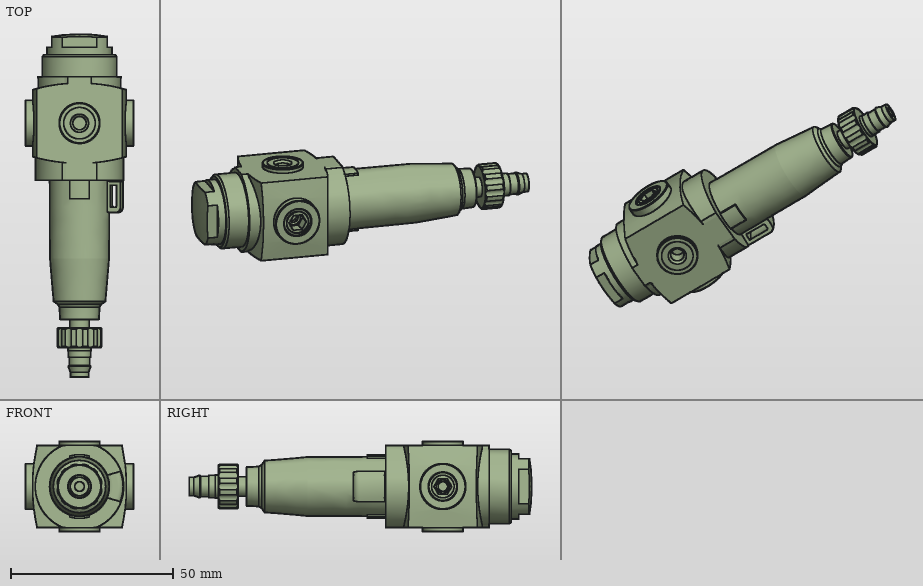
import cadquery as cq
import math


BLOCK_HEIGHT = 25.4
BLOCK_EDGE_WIDTH = 26.3
BLOCK_MID_WIDTH = 29.0
BLOCK_SIDE_LENGTH = 20.6
BLOCK_MID_LENGTH = 24.8

CAP_SHOULDER_Y = 14.3
CAP_SHOULDER_RADIUS = 12.8
CAP_PAD_HALF_WIDTH = 3.6
CAP_PAD_FOOT_HALF_WIDTH = 4.7
BOWL_SHOULDER_Y = -17.7
BOWL_SHOULDER_RADIUS = 13.7
BOWL_PAD_HALF_WIDTH = 4.2
BOWL_PAD_FOOT_HALF_WIDTH = 5.4

CAP_RADIUS = 11.5
CAP_END_Y = 21.2
CAP_CHAMFER = 0.6
KNOB_RADIUS = 10.1
KNOB_END_Y = 27.5
KNOB_DOME_DROP = 1.1
KNOB_FLAT_WIDTH = 17.1
KNOB_FLAT_START_Y = 23.5

SIDE_PORT_SPAN = 33.5
SIDE_PORT_DIAMETER = 14.2
SIDE_RECESS_DIAMETER = 8.6
SIDE_RECESS_DEPTH = 0.4
SOCKET_RING_DIAMETER = 7.0
SOCKET_ACROSS_FLATS = 4.8
SOCKET_DEPTH = 4.2
FLOW_SINK_DIAMETER = 4.1
FLOW_HOLE_DIAMETER = 3.0
FLOW_HOLE_DEPTH = 6.4

GAUGE_PORT_SPAN = 28.0
GAUGE_PORT_DIAMETER = 12.6
GAUGE_RECESS_DIAMETER = 9.7
GAUGE_RECESS_DEPTH = 0.1
GAUGE_HOLE_DIAMETER = 4.1
GAUGE_SINK_DIAMETER = 5.6
GAUGE_HOLE_DEPTH = 5.3
PORT_EDGE_CHAMFER = 0.2

BOWL_TOP_RADIUS = 9.26
BOWL_WAIST_Y = -41.8
BOWL_WAIST_RADIUS = 9.16
BOWL_FOOT_Y = -54.9
BOWL_FOOT_RADIUS = 8.0
BOWL_CHAMFER_END_Y = -55.9
BOWL_CHAMFER_END_RADIUS = 6.8
NECK_START_Y = -56.7
NECK_RADIUS = 6.2
NECK_END_Y = -60.7
NECK_END_RADIUS = 6.0
NECK_EDGE = 0.2

TAB_WIDTH = 6.1
TAB_RADIUS = 9.8
TAB_END_Y = -23.3

LATCH_START_Y = -18.0
LATCH_END_Y = -27.6
LATCH_INNER_RADIUS = 8.5
LATCH_OUTER_RADIUS = 13.4
LATCH_CORNER = 1.7
LATCH_ROOT_X = 7.4
LATCH_ROOT_HALF_WIDTH = 3.2
LATCH_FLARE_ANGLE = 16.0
LATCH_SLOT_INNER_RADIUS = 10.2
LATCH_SLOT_OUTER_RADIUS = 12.2
LATCH_SLOT_START_Y = -19.2
LATCH_SLOT_END_Y = -25.9
LATCH_SLOT_CORNER = 0.5

STEM_RADIUS = 3.1
WHEEL_START_Y = -63.2
WHEEL_END_Y = -69.2
WHEEL_RADIUS = 7.0
WHEEL_CHAMFER = 0.4
FLUTE_COUNT = 12
FLUTE_WIDTH = 2.2
FLUTE_DEPTH = 0.4
NOZZLE_COLLAR_RADIUS = 3.6
NOZZLE_COLLAR_END_Y = -70.2
NOZZLE_BAND_RADIUS = 3.5
NOZZLE_BAND_END_Y = -72.2
NOZZLE_GROOVE_RADIUS = 3.23
BARB_Y = -75.1
BARB_RADIUS = 3.5
BARB_LIP = 0.3
BARB_CONE_END_Y = -76.9
NOZZLE_TIP_RADIUS = 2.9
NOZZLE_END_Y = -78.3
DRAIN_BORE_DIAMETER = 3.0
DRAIN_BORE_DEPTH = 6.4


def turned(profile):
    """Solid of revolution about Y through (radius, y) points, closed along the axis."""
    first_y = profile[0][1]
    last_y = profile[-1][1]
    outline = [(0, first_y)] + profile + [(0, last_y)]
    return cq.Workplane("XY").polyline(outline).close().revolve(360, (0, 0), (0, 1))


def along_y(outline, y_from, y_to):
    """Extrude an XZ outline between two Y positions."""
    return outline.extrude(y_from - y_to).translate((0, y_from, 0))


def xz_outline():
    return cq.Workplane("XZ")



def bulged_sides():
    half_height = BLOCK_HEIGHT / 2
    edge = BLOCK_EDGE_WIDTH / 2
    crest = BLOCK_MID_WIDTH / 2
    outline = (
        xz_outline()
        .moveTo(-edge, half_height)
        .lineTo(edge, half_height)
        .threePointArc((crest, 0), (edge, -half_height))
        .lineTo(-edge, -half_height)
        .threePointArc((-crest, 0), (-edge, half_height))
        .close()
    )
    return along_y(outline, BLOCK_MID_LENGTH / 2, -BLOCK_MID_LENGTH / 2)


def bulged_ends():
    side_x = BLOCK_MID_WIDTH / 2
    side_y = BLOCK_SIDE_LENGTH / 2
    crest_y = BLOCK_MID_LENGTH / 2
    return (
        cq.Workplane("XY")
        .moveTo(-side_x, side_y)
        .threePointArc((0, crest_y), (side_x, side_y))
        .lineTo(side_x, -side_y)
        .threePointArc((0, -crest_y), (-side_x, -side_y))
        .close()
        .extrude(BLOCK_HEIGHT / 2, both=True)
    )


def shoulder(radius, pad_half_width, foot_half_width, end_y):
    """Round shoulder from the block's middle to end_y, with a flat pad at top and bottom."""
    pad_z = BLOCK_HEIGHT / 2
    foot_z = math.sqrt(radius ** 2 - foot_half_width ** 2)
    outline = (
        xz_outline()
        .moveTo(-pad_half_width, pad_z)
        .lineTo(pad_half_width, pad_z)
        .lineTo(foot_half_width, foot_z)
        .threePointArc((radius, 0), (foot_half_width, -foot_z))
        .lineTo(pad_half_width, -pad_z)
        .lineTo(-pad_half_width, -pad_z)
        .lineTo(-foot_half_width, -foot_z)
        .threePointArc((-radius, 0), (-foot_half_width, foot_z))
        .close()
    )
    return along_y(outline, max(end_y, 0), min(end_y, 0))


def cap():
    return turned([
        (CAP_RADIUS, 0),
        (CAP_RADIUS, CAP_END_Y - CAP_CHAMFER),
        (CAP_RADIUS - CAP_CHAMFER, CAP_END_Y),
    ])


def knob():
    """Domed knob with four flats that leave the round base below them."""
    dome_radius = (KNOB_RADIUS ** 2 + KNOB_DOME_DROP ** 2) / (2 * KNOB_DOME_DROP)
    mid_radius = KNOB_RADIUS / 2
    mid_y = KNOB_END_Y - dome_radius + math.sqrt(dome_radius ** 2 - mid_radius ** 2)
    body = (
        cq.Workplane("XY")
        .lineTo(KNOB_RADIUS, 0)
        .lineTo(KNOB_RADIUS, KNOB_END_Y - KNOB_DOME_DROP)
        .threePointArc((mid_radius, mid_y), (0, KNOB_END_Y))
        .close()
        .revolve(360, (0, 0), (0, 1))
    )
    round_base = xz_outline().circle(KNOB_RADIUS)
    square_end = xz_outline().rect(KNOB_FLAT_WIDTH, KNOB_FLAT_WIDTH)
    envelope = along_y(round_base, KNOB_FLAT_START_Y, 0).union(
        along_y(square_end, KNOB_END_Y, KNOB_FLAT_START_Y)
    )
    return body.intersect(envelope)


def upright_disc(diameter, z_from, z_to):
    return cq.Workplane("XY").workplane(offset=z_from).circle(diameter / 2).extrude(z_to - z_from)


def cone_frustum(large_diameter, small_diameter, face_z):
    """Countersink that narrows downwards at 45 degrees from face_z."""
    depth = (large_diameter - small_diameter) / 2
    solid = cq.Solid.makeCone(
        small_diameter / 2, large_diameter / 2, depth, cq.Vector(0, 0, face_z - depth)
    )
    return cq.Workplane(obj=solid)


def port_boss(diameter, face_z):
    return upright_disc(diameter, 0, face_z).faces(">Z").edges().chamfer(PORT_EDGE_CHAMFER)


def gauge_cut(face_z):
    recess_z = face_z - GAUGE_RECESS_DEPTH
    recess = upright_disc(GAUGE_RECESS_DIAMETER, recess_z, face_z)
    hole = upright_disc(GAUGE_HOLE_DIAMETER, face_z - GAUGE_HOLE_DEPTH, face_z)
    sink = cone_frustum(GAUGE_SINK_DIAMETER, GAUGE_HOLE_DIAMETER, recess_z)
    return recess.union(hole).union(sink)


def side_cut(face_z):
    """Shallow groove around a ring, and a hexagon socket with a corner on each Y side."""
    groove_z = face_z - SIDE_RECESS_DEPTH
    mouth_diameter = SIDE_RECESS_DIAMETER + 2 * PORT_EDGE_CHAMFER
    socket_z = face_z - SOCKET_DEPTH
    across_corners = SOCKET_ACROSS_FLATS / math.cos(math.radians(30))

    groove = upright_disc(SIDE_RECESS_DIAMETER, groove_z, face_z)
    groove = groove.union(cone_frustum(mouth_diameter, SIDE_RECESS_DIAMETER, face_z))
    groove = groove.cut(upright_disc(SOCKET_RING_DIAMETER, groove_z, face_z))
    socket = (
        cq.Workplane("XY")
        .workplane(offset=socket_z)
        .polygon(6, across_corners)
        .extrude(SOCKET_DEPTH)
        .rotate((0, 0, 0), (0, 0, 1), 90)
    )
    flow_sink = cone_frustum(FLOW_SINK_DIAMETER, FLOW_HOLE_DIAMETER, socket_z)
    flow_hole = upright_disc(FLOW_HOLE_DIAMETER, face_z - FLOW_HOLE_DEPTH, socket_z)
    return groove.union(socket).union(flow_sink).union(flow_hole)


def make_housing():
    body = bulged_sides().intersect(bulged_ends())
    body = body.union(
        shoulder(CAP_SHOULDER_RADIUS, CAP_PAD_HALF_WIDTH, CAP_PAD_FOOT_HALF_WIDTH, CAP_SHOULDER_Y)
    )
    body = body.union(
        shoulder(BOWL_SHOULDER_RADIUS, BOWL_PAD_HALF_WIDTH, BOWL_PAD_FOOT_HALF_WIDTH, BOWL_SHOULDER_Y)
    )
    body = body.union(cap()).union(knob())

    side_face = SIDE_PORT_SPAN / 2
    gauge_face = GAUGE_PORT_SPAN / 2
    ports = [
        (port_boss(GAUGE_PORT_DIAMETER, gauge_face), gauge_cut(gauge_face), (0, 180)),
        (port_boss(SIDE_PORT_DIAMETER, side_face), side_cut(side_face), (90, -90)),
    ]
    for boss, cut, turns in ports:
        for turn in turns:
            body = body.union(boss.rotate((0, 0, 0), (0, 1, 0), turn))
            body = body.cut(cut.rotate((0, 0, 0), (0, 1, 0), turn))
    return body



def bayonet_tabs():
    disc = along_y(xz_outline().circle(TAB_RADIUS), BOWL_SHOULDER_Y, TAB_END_Y)
    strip = along_y(xz_outline().rect(TAB_WIDTH, 2 * TAB_RADIUS), BOWL_SHOULDER_Y, TAB_END_Y)
    return disc.intersect(strip)


def ring(inner_radius, outer_radius, y_from, y_to):
    """Plain ring about Y with a rectangular section."""
    return along_y(xz_outline().circle(outer_radius).circle(inner_radius), y_from, y_to)


def latch_wedge():
    """Wedge that flares outwards along +X and bounds the latch sideways."""
    outer_x = LATCH_OUTER_RADIUS + LATCH_CORNER
    flare = (outer_x - LATCH_ROOT_X) * math.tan(math.radians(LATCH_FLARE_ANGLE))
    outer_half_width = LATCH_ROOT_HALF_WIDTH + flare
    outline = xz_outline().polyline([
        (LATCH_ROOT_X, -LATCH_ROOT_HALF_WIDTH),
        (outer_x, -outer_half_width),
        (outer_x, outer_half_width),
        (LATCH_ROOT_X, LATCH_ROOT_HALF_WIDTH),
    ]).close()
    return along_y(outline, LATCH_START_Y, LATCH_END_Y)


def spring_latch():
    """Curved loop with a slot through it, open towards both sides."""
    loop = ring(LATCH_INNER_RADIUS, LATCH_OUTER_RADIUS, LATCH_START_Y, LATCH_END_Y)
    loop = loop.faces("<Y").edges().fillet(LATCH_CORNER)
    slot = ring(
        LATCH_SLOT_INNER_RADIUS, LATCH_SLOT_OUTER_RADIUS, LATCH_SLOT_START_Y, LATCH_SLOT_END_Y
    )
    slot = slot.faces("<Y").edges().fillet(LATCH_SLOT_CORNER)
    return loop.cut(slot).intersect(latch_wedge())


def make_bowl():
    body = turned([
        (BOWL_TOP_RADIUS, BOWL_SHOULDER_Y),
        (BOWL_WAIST_RADIUS, BOWL_WAIST_Y),
        (BOWL_FOOT_RADIUS, BOWL_FOOT_Y),
        (BOWL_CHAMFER_END_RADIUS, BOWL_CHAMFER_END_Y),
        (NECK_RADIUS, NECK_START_Y),
        (NECK_END_RADIUS, NECK_END_Y + NECK_EDGE),
        (NECK_END_RADIUS - NECK_EDGE, NECK_END_Y),
    ])
    return body.union(bayonet_tabs()).union(spring_latch())



def flutes():
    """Shallow round grooves along the rim of the drain wheel."""
    flute_radius = ((FLUTE_WIDTH / 2) ** 2 + FLUTE_DEPTH ** 2) / (2 * FLUTE_DEPTH)
    centre_radius = WHEEL_RADIUS - FLUTE_DEPTH + flute_radius
    outline = xz_outline().polarArray(centre_radius, 0, 360, FLUTE_COUNT).circle(flute_radius)
    return along_y(outline, WHEEL_START_Y, WHEEL_END_Y)


def make_drain():
    body = turned([
        (STEM_RADIUS, NECK_END_Y),
        (STEM_RADIUS, WHEEL_START_Y),
        (WHEEL_RADIUS - WHEEL_CHAMFER, WHEEL_START_Y),
        (WHEEL_RADIUS, WHEEL_START_Y - WHEEL_CHAMFER),
        (WHEEL_RADIUS, WHEEL_END_Y + WHEEL_CHAMFER),
        (WHEEL_RADIUS - WHEEL_CHAMFER, WHEEL_END_Y),
        (NOZZLE_COLLAR_RADIUS, WHEEL_END_Y),
        (NOZZLE_COLLAR_RADIUS, NOZZLE_COLLAR_END_Y),
        (NOZZLE_BAND_RADIUS, NOZZLE_COLLAR_END_Y),
        (NOZZLE_BAND_RADIUS, NOZZLE_BAND_END_Y),
        (NOZZLE_GROOVE_RADIUS, NOZZLE_BAND_END_Y),
        (NOZZLE_GROOVE_RADIUS, BARB_Y + BARB_LIP),
        (BARB_RADIUS, BARB_Y),
        (NOZZLE_TIP_RADIUS, BARB_CONE_END_Y),
        (NOZZLE_TIP_RADIUS, NOZZLE_END_Y),
    ])
    bore_start_y = NOZZLE_END_Y + DRAIN_BORE_DEPTH
    bore = along_y(xz_outline().circle(DRAIN_BORE_DIAMETER / 2), bore_start_y, NOZZLE_END_Y)
    return body.cut(flutes()).cut(bore)


housing = make_housing()
bowl = make_bowl()
drain = make_drain()

result = cq.Compound.makeCompound([
    housing.solids().val(),
    bowl.solids().val(),
    drain.solids().val(),
])